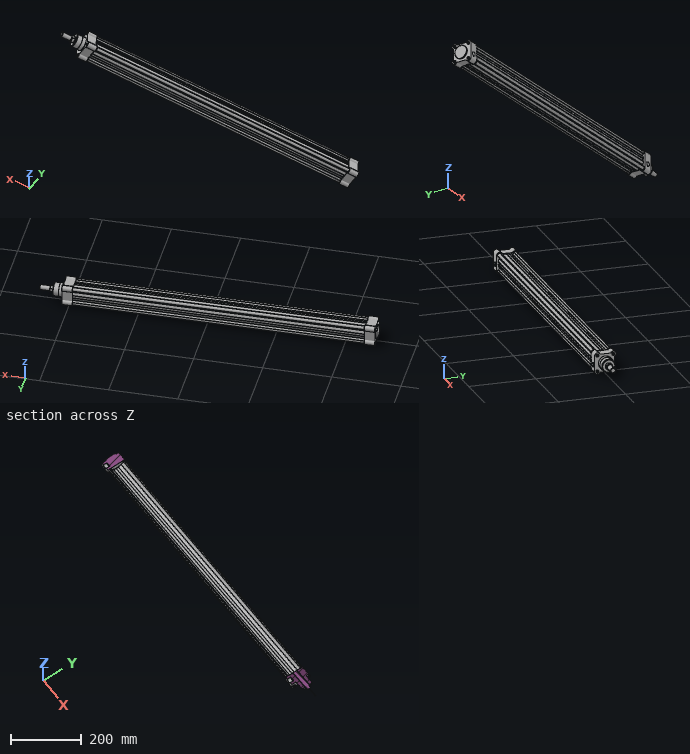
import cadquery as cq
import math

total_length = 979.0
spigot_length = 4.0
cap_length = 30.0
boss_step_length = 12.0
boss_length = 29.0
rod_reach = 40.0
thread_length = 29.0

rear_face_x = -total_length / 2 + spigot_length
shoulder_x = total_length / 2 - thread_length
front_face_x = shoulder_x - rod_reach
barrel_start_x = rear_face_x + cap_length
barrel_end_x = front_face_x - cap_length
barrel_length = barrel_end_x - barrel_start_x

cap_size = 65.0
bolt_offset = 23.5
lobe_radius = cap_size / 2 - bolt_offset
recess_depth = 5.0
recess_fillet = 1.0
bolt_hole_diameter = 8.0
bolt_hole_depth = 5.0
bolt_socket_diameter = 5.0
bolt_socket_depth = 10.0
port_diameter = 13.0
port_depth = 12.0
port_z = -8.0
spigot_diameter = 40.0
boss_root_diameter = 41.0
boss_nose_diameter = 40.0
boss_chamfer = 2.0

barrel_width = 59.0
bore_diameter = 49.0
tube_diameter = 56.0
rail_radius = barrel_width / 2 - bolt_offset
groove_inner_z = 14.0
groove_outer_z = 20.0
groove_inner_y = 22.0
groove_outer_y = 26.0
slot_width = 8.0
slot_depth = 2.0

rod_diameter = 20.0
flat_width = 17.0
shoulder_chamfer = 2.0
thread_diameter = 16.0
thread_chamfer = 1.0

corners = [(y * bolt_offset, z * bolt_offset) for y in (-1, 1) for z in (-1, 1)]


def section(x):
    """Workplane across the axis at x: local x is +Y, local y is +Z, extrusion goes to +X."""
    return cq.Workplane("YZ", origin=(x, 0, 0))


def turned(body, angle):
    """The body turned about the cylinder axis."""
    return body.rotate((0, 0, 0), (1, 0, 0), angle)


def side_recess(start_x):
    """Cutter for the +Y side: a channel whose walls follow the round corner lobes."""
    top_y = cap_size / 2
    floor_y = top_y - recess_depth
    floor_angle = math.acos((floor_y - bolt_offset) / lobe_radius)
    floor_half = bolt_offset - lobe_radius * math.sin(floor_angle)
    wall_y = bolt_offset + lobe_radius * math.cos(floor_angle / 2)
    wall_z = bolt_offset - lobe_radius * math.sin(floor_angle / 2)
    channel = (
        section(start_x)
        .moveTo(top_y, -bolt_offset)
        .threePointArc((wall_y, -wall_z), (floor_y, -floor_half))
        .lineTo(floor_y, floor_half)
        .threePointArc((wall_y, wall_z), (top_y, bolt_offset))
        .close()
        .extrude(cap_length)
    )
    return channel.faces("<Y").edges("|X").fillet(recess_fillet)


def bolt_hole_cutter(face_x, direction):
    """Stepped blind holes at the four corners, going inwards from a cap face."""
    holes = section(face_x).pushPoints(corners)
    mouths = holes.circle(bolt_hole_diameter / 2).extrude(direction * bolt_hole_depth)
    sockets = holes.circle(bolt_socket_diameter / 2).extrude(direction * bolt_socket_depth)
    return mouths.union(sockets)


def cap_block(start_x):
    """Square cap with round corners, three recessed sides and an air port in the flush -Y side."""
    block = section(start_x).rect(cap_size, cap_size).extrude(cap_length).edges("|X").fillet(lobe_radius)
    for angle in (0, 90, -90):
        block = block.cut(turned(side_recess(start_x), angle))
    port = (
        cq.Workplane("XZ", origin=(start_x + cap_length / 2, -cap_size / 2, port_z))
        .circle(port_diameter / 2)
        .extrude(-port_depth)
    )
    return block.cut(port)


def make_rear_cap():
    spigot = section(rear_face_x).circle(spigot_diameter / 2).extrude(-spigot_length)
    return cap_block(rear_face_x).union(spigot).cut(bolt_hole_cutter(rear_face_x, 1))


def make_front_cap():
    boss_root = section(front_face_x).circle(boss_root_diameter / 2).extrude(boss_step_length)
    nose = section(front_face_x).circle(boss_nose_diameter / 2).extrude(boss_length)
    nose = nose.faces(">X").chamfer(boss_chamfer)
    rod_hole = section(barrel_end_x).circle(rod_diameter / 2).extrude(cap_length + boss_length)
    cap = cap_block(barrel_end_x).union(boss_root).union(nose)
    return cap.cut(bolt_hole_cutter(front_face_x, -1)).cut(rod_hole)


def side_slot():
    """Cutter for the lengthwise slot in the middle of the +Y side of the tube."""
    return (
        section(barrel_start_x)
        .center(tube_diameter / 2, 0)
        .rect(2 * slot_depth, slot_width)
        .extrude(barrel_length)
    )


def rail_groove(side):
    """Cutter for the sloping groove between tube and rail on the +Y side, above or below the middle."""
    outer_y = barrel_width / 2
    points = [
        (groove_inner_y, side * groove_inner_z),
        (outer_y, side * groove_inner_z),
        (outer_y, side * groove_outer_z),
        (groove_outer_y, side * groove_outer_z),
    ]
    return section(barrel_start_x).polyline(points).close().extrude(barrel_length)


def make_barrel():
    """Round tube with four corner rails, two grooves and a slot along each side."""
    barrel = section(barrel_start_x).circle(tube_diameter / 2).extrude(barrel_length)
    rails = section(barrel_start_x).pushPoints(corners).circle(rail_radius).extrude(barrel_length)
    web_points = [
        (groove_inner_y, groove_inner_z),
        (groove_outer_y, groove_outer_z),
        (bolt_offset, bolt_offset),
        (groove_outer_z, groove_outer_y),
        (groove_inner_z, groove_inner_y),
    ]
    web = section(barrel_start_x).polyline(web_points).close().extrude(barrel_length)
    barrel = barrel.union(rails)
    side_angles = (0, 90, 180, 270)
    cutters = [side_slot(), rail_groove(1), rail_groove(-1)]
    for angle in side_angles:
        barrel = barrel.union(turned(web, angle))
    for angle in side_angles:
        for cutter in cutters:
            barrel = barrel.cut(turned(cutter, angle))
    bore = section(barrel_start_x).circle(bore_diameter / 2).extrude(barrel_length)
    return barrel.cut(bore)


def make_rod():
    """Rod with two wrench flats facing +Y and -Y from boss to shoulder, and a thinner threaded end."""
    rod = section(barrel_end_x).circle(rod_diameter / 2).extrude(shoulder_x - barrel_end_x)
    rod = rod.faces(">X").chamfer(shoulder_chamfer)
    flats_start_x = front_face_x + boss_length
    flats_length = shoulder_x - flats_start_x
    flats = (
        section(flats_start_x)
        .pushPoints([(-rod_diameter / 2, 0), (rod_diameter / 2, 0)])
        .rect(rod_diameter - flat_width, rod_diameter)
        .extrude(flats_length)
    )
    thread = section(shoulder_x).circle(thread_diameter / 2).extrude(thread_length)
    thread = thread.faces(">X").chamfer(thread_chamfer)
    return rod.cut(flats).union(thread)


rear_cap = make_rear_cap()
barrel = make_barrel()
front_cap = make_front_cap()
rod = make_rod()

result = cq.Compound.makeCompound([body.solids().val() for body in (rear_cap, barrel, front_cap, rod)])